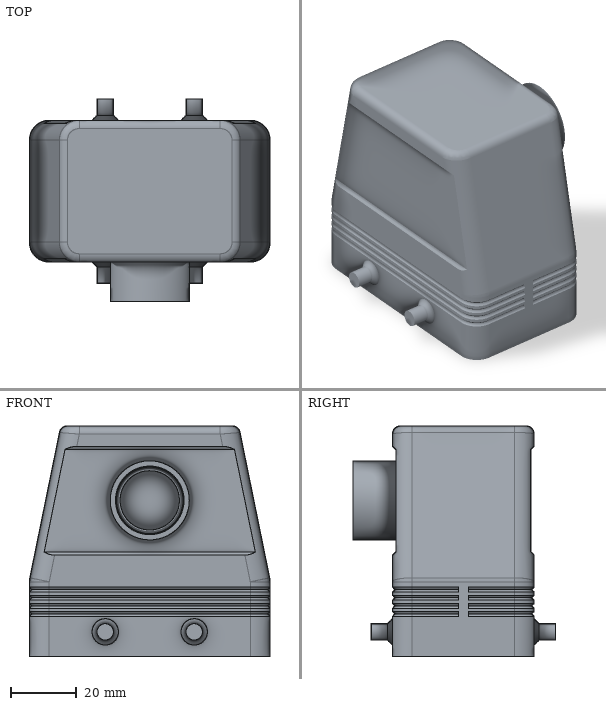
import cadquery as cq
import math

BASE_LENGTH = 73.0
BASE_WIDTH = 43.0
TOP_LENGTH = 54.0
HEIGHT = 70.0
KNEE_Z = 23.3
KNEE_RADIUS = 6.0
CORNER_RADIUS = 6.0
TOP_EDGE_RADIUS = 2.5

PANEL_DEPTH = 1.0
PANEL_FLOOR_BOTTOM_Z = 31.8
PANEL_FLOOR_TOP_Z = 62.8

GROOVE_COUNT = 4
GROOVE_BOTTOM_Z = 12.2
GROOVE_HEIGHT = 1.5
GROOVE_PITCH = 2.45
GROOVE_WEB = 3.0
GROOVE_FLANK_ANGLE = 45.0

PIN_SPACING = 27.0
PIN_Z = 7.5
PIN_RADIUS = 2.5
PIN_TIP_Y = 28.0
PIN_FOOT_RADIUS = 4.0
PIN_FOOT_HEIGHT = 1.5

SPIGOT_Z = 47.4
SPIGOT_RADIUS = 12.0
SPIGOT_TIP_Y = -33.5
BORE_RADIUS = 10.1
BORE_DEPTH = 12.0
BORE_MOUTH_CHAMFER = 0.3
BORE_END_RADIUS = 1.5
PASSAGE_RADIUS = 9.0
PASSAGE_DEPTH = 6.0

CUTTER_MARGIN = 1.0

EDGE_SEARCH_MARGIN = 1.0

HALF_WIDTH = BASE_WIDTH / 2
PANEL_Y = HALF_WIDTH - PANEL_DEPTH


def make_body():
    half_base = BASE_LENGTH / 2
    half_top = TOP_LENGTH / 2
    outline = [
        (-half_base, 0),
        (half_base, 0),
        (half_base, KNEE_Z),
        (half_top, HEIGHT),
        (-half_top, HEIGHT),
        (-half_base, KNEE_Z),
    ]
    body = cq.Workplane("XZ").polyline(outline).close().extrude(HALF_WIDTH, both=True)

    lower_knee_corner = (-BASE_LENGTH, -BASE_WIDTH, KNEE_Z - EDGE_SEARCH_MARGIN)
    upper_knee_corner = (BASE_LENGTH, BASE_WIDTH, KNEE_Z + EDGE_SEARCH_MARGIN)
    knee_zone = cq.selectors.BoxSelector(lower_knee_corner, upper_knee_corner)
    body = body.edges("|Y").edges(knee_zone).fillet(KNEE_RADIUS)
    body = body.faces("<Y or >Y").edges("not(<Z or >Z)").fillet(CORNER_RADIUS)
    return body.faces(">Z").edges().fillet(TOP_EDGE_RADIUS)


def make_panel_cutter():
    outer_bottom = PANEL_FLOOR_BOTTOM_Z - PANEL_DEPTH
    outer_top = PANEL_FLOOR_TOP_Z + PANEL_DEPTH
    profile = [
        (PANEL_Y, PANEL_FLOOR_BOTTOM_Z),
        (HALF_WIDTH, outer_bottom),
        (HALF_WIDTH, outer_top),
        (PANEL_Y, PANEL_FLOOR_TOP_Z),
    ]
    return cq.Workplane("YZ").polyline(profile).close().extrude(BASE_LENGTH / 2, both=True)


def make_groove_cutter():
    """V-shaped ring around the base, pointing inward, without the webs."""
    half_height = GROOVE_HEIGHT / 2
    outline = cq.Sketch().rect(BASE_LENGTH, BASE_WIDTH).vertices().fillet(CORNER_RADIUS)
    lower_core = (
        cq.Workplane("XY", origin=(0, 0, -half_height))
        .placeSketch(outline)
        .extrude(half_height, taper=GROOVE_FLANK_ANGLE)
    )
    core = lower_core.union(lower_core.mirror("XY"))
    slab_length = BASE_LENGTH + 2 * CUTTER_MARGIN
    slab = cq.Workplane("XY").box(slab_length, BASE_WIDTH + 2 * CUTTER_MARGIN, GROOVE_HEIGHT)
    web = cq.Workplane("XY").box(slab_length, GROOVE_WEB, GROOVE_HEIGHT)
    return slab.cut(core).cut(web)


def make_pin():
    """Pin with a conical foot on the +Y side, at X = 0."""
    foot_top_y = HALF_WIDTH + PIN_FOOT_HEIGHT
    profile = [
        (0, PANEL_Y),
        (PIN_FOOT_RADIUS, PANEL_Y),
        (PIN_FOOT_RADIUS, HALF_WIDTH),
        (PIN_RADIUS, foot_top_y),
        (PIN_RADIUS, PIN_TIP_Y),
        (0, PIN_TIP_Y),
    ]
    pin = cq.Workplane("XY").polyline(profile).close().revolve(360, (0, 0, 0), (0, 1, 0))
    return pin.translate((0, 0, PIN_Z))


def make_spigot():
    """Round spigot, rooted at the middle of the body."""
    spigot = cq.Workplane("XZ", origin=(0, 0, SPIGOT_Z)).circle(SPIGOT_RADIUS)
    return spigot.extrude(-SPIGOT_TIP_Y)


def make_bore():
    """Bore with a chamfered mouth and a rounded end, stepping down to a narrower blind passage."""
    bore_end_y = SPIGOT_TIP_Y + BORE_DEPTH
    passage_end_y = bore_end_y + PASSAGE_DEPTH

    arc_center_x = BORE_RADIUS - BORE_END_RADIUS
    arc_center_y = bore_end_y - BORE_END_RADIUS
    arc_reach = BORE_END_RADIUS * math.sin(math.radians(45))
    arc_middle = (arc_center_x + arc_reach, arc_center_y + arc_reach)
    passage_rim_y = arc_center_y + math.sqrt(BORE_END_RADIUS**2 - (PASSAGE_RADIUS - arc_center_x) ** 2)

    bore = (
        cq.Workplane("XY")
        .moveTo(0, SPIGOT_TIP_Y)
        .lineTo(BORE_RADIUS + BORE_MOUTH_CHAMFER, SPIGOT_TIP_Y)
        .lineTo(BORE_RADIUS, SPIGOT_TIP_Y + BORE_MOUTH_CHAMFER)
        .lineTo(BORE_RADIUS, arc_center_y)
        .threePointArc(arc_middle, (PASSAGE_RADIUS, passage_rim_y))
        .lineTo(PASSAGE_RADIUS, passage_end_y)
        .lineTo(0, passage_end_y)
        .close()
        .revolve(360, (0, 0, 0), (0, 1, 0))
    )
    return bore.translate((0, 0, SPIGOT_Z))


result = make_body()

panel = make_panel_cutter()
result = result.cut(panel).cut(panel.mirror("XZ"))

groove = make_groove_cutter()
for index in range(GROOVE_COUNT):
    groove_z = GROOVE_BOTTOM_Z + GROOVE_HEIGHT / 2 + index * GROOVE_PITCH
    result = result.cut(groove.translate((0, 0, groove_z)))

pin = make_pin()
for pin_x in (-PIN_SPACING / 2, PIN_SPACING / 2):
    placed_pin = pin.translate((pin_x, 0, 0))
    result = result.union(placed_pin).union(placed_pin.mirror("XZ"))

result = result.union(make_spigot()).cut(make_bore())